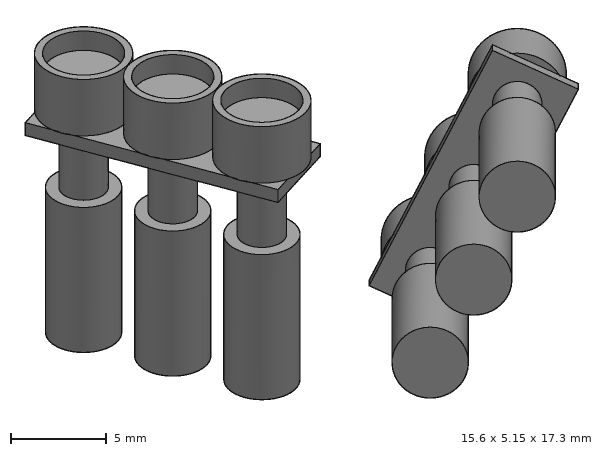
import cadquery as cq

screw_count = 3
pitch = 5.2

sleeve_diameter = 4.0
sleeve_height = 9.0
stem_diameter = 2.6
stem_height = 4.0
head_diameter = 5.15
head_height = 3.5
recess_diameter = 4.3
recess_depth = 1.2

plate_length = 14.75
plate_width = 5.0
plate_thickness = 0.8

stem_bottom = sleeve_height
plate_bottom = stem_bottom + stem_height
head_bottom = plate_bottom + plate_thickness
head_top = head_bottom + head_height


def cylinder(x, bottom, diameter, height):
    """Upright cylinder centred at (x, 0)."""
    return cq.Workplane("XY", origin=(x, 0, bottom)).circle(diameter / 2).extrude(height)


def make_plate():
    return (
        cq.Workplane("XY", origin=(0, 0, plate_bottom))
        .rect(plate_length, plate_width)
        .extrude(plate_thickness)
    )


def make_screw(x):
    """Sleeve, stem and recessed head; the stem ends at the underside of the plate."""
    sleeve = cylinder(x, 0, sleeve_diameter, sleeve_height)
    stem = cylinder(x, stem_bottom, stem_diameter, stem_height)
    head = cylinder(x, head_bottom, head_diameter, head_height)
    recess = cylinder(x, head_top - recess_depth, recess_diameter, recess_depth)
    return sleeve, stem, head.cut(recess)


result = make_plate()
for index in range(screw_count):
    screw_x = (index - (screw_count - 1) / 2) * pitch
    sleeve, stem, head = make_screw(screw_x)
    result = result.union(head).union(stem).union(sleeve)